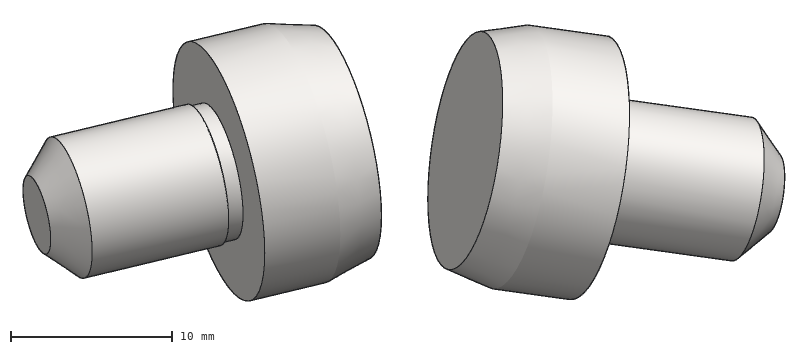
import cadquery as cq
import math

head_diameter = 16.5
head_length = 8.0
taper_length = 3.0
taper_angle = 15.0
neck_diameter = 8.7
neck_length = 1.0
shank_diameter = 9.0
shank_length = 9.0
tip_chamfer = 2.0

head_radius = head_diameter / 2
taper_end_radius = head_radius - taper_length * math.tan(math.radians(taper_angle))
neck_radius = neck_diameter / 2
shank_radius = shank_diameter / 2
tip_radius = shank_radius - tip_chamfer

neck_end = -neck_length
shank_end = neck_end - shank_length
tip_end = shank_end - tip_chamfer
taper_start = head_length - taper_length

profile = (
    cq.Workplane("XY")
    .moveTo(0, tip_end)
    .lineTo(tip_radius, tip_end)
    .lineTo(shank_radius, shank_end)
    .lineTo(shank_radius, neck_end)
    .lineTo(neck_radius, neck_end)
    .lineTo(neck_radius, 0)
    .lineTo(head_radius, 0)
    .lineTo(head_radius, taper_start)
    .lineTo(taper_end_radius, head_length)
    .lineTo(0, head_length)
    .close()
)

result = profile.revolve(360, (0, 0, 0), (0, 1, 0))